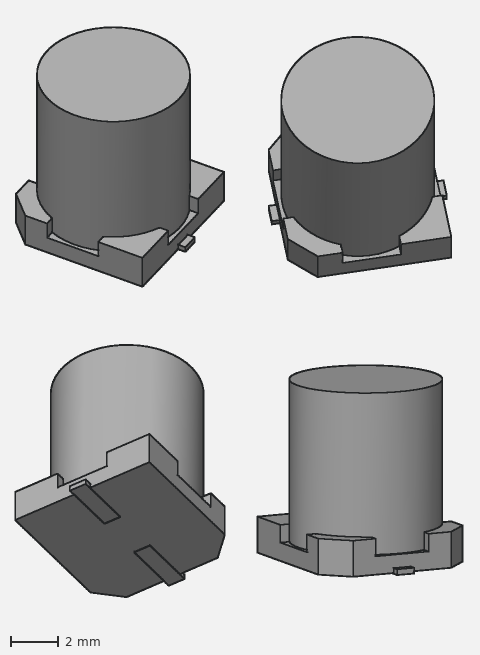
import cadquery as cq

total_height = 7.75
lead_span = 7.49

base_side = 6.81
standoff = 0.03
base_top = 1.58
corner_chamfer = 1.09
notch_width = 2.5
notch_floor = 0.82

can_diameter = 6.46
can_bottom = notch_floor

lead_length = 2.62
lead_width = 0.8
lead_thickness = 0.25


def make_can():
    """Plain upright cylinder resting on the floor of the base recess."""
    return (
        cq.Workplane("XY", origin=(0, 0, can_bottom))
        .circle(can_diameter / 2)
        .extrude(total_height - can_bottom)
    )


def make_lead(side):
    """Flat strip along X, lying at Z = 0; side is -1 for -X and +1 for +X."""
    return cq.Workplane("XY").box(
        lead_length, lead_width, lead_thickness, centered=(True, True, False)
    ).translate((side * (lead_span - lead_length) / 2, 0, 0))


def make_base(can, leads):
    """Square plate with two chamfered -X corners, a notch in each side, and seats for the can and leads."""
    base = (
        cq.Workplane("XY", origin=(0, 0, standoff))
        .rect(base_side, base_side)
        .extrude(base_top - standoff)
        .edges("|Z and <X")
        .chamfer(corner_chamfer)
    )
    for length, width in ((base_side, notch_width), (notch_width, base_side)):
        channel = (
            cq.Workplane("XY", origin=(0, 0, notch_floor))
            .rect(length, width)
            .extrude(base_top - notch_floor)
        )
        base = base.cut(channel)
    base = base.cut(can)
    for lead in leads:
        base = base.cut(lead)
    return base


can = make_can()
leads = [make_lead(side) for side in (-1, 1)]
base = make_base(can, leads)

result = cq.Compound.makeCompound([base.val(), can.val(), *[lead.val() for lead in leads]])